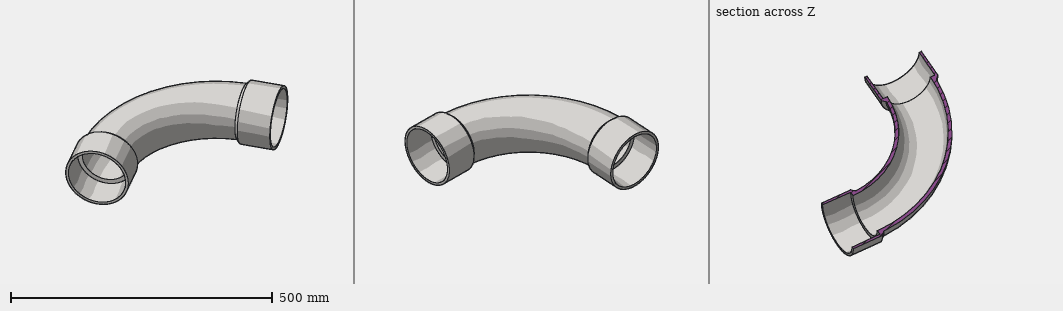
import cadquery as cq

overall_length = 343.5
socket_diameter = 125.0
socket_length = 71.5
shoulder_chamfer = 7.0

seat_mouth_diameter = 114.0
seat_floor_diameter = 112.5
seat_depth = 61.0

pipe_diameter = 110.0
pipe_bore_diameter = 94.0

half_length = overall_length / 2
socket_radius = socket_diameter / 2
corner_x = -half_length + socket_radius
corner_y = half_length - socket_radius
bend_radius = overall_length - socket_radius - seat_depth

lower_end = cq.Plane(origin=(corner_x, -half_length, 0), xDir=(1, 0, 0), normal=(0, 1, 0))
side_end = cq.Plane(origin=(half_length, corner_y, 0), xDir=(0, 1, 0), normal=(-1, 0, 0))


def quarter_bend(diameter):
    """Quarter torus joining the floors of the two pipe seats."""
    bend_start = cq.Plane(
        origin=(corner_x, -half_length + seat_depth, 0), xDir=(1, 0, 0), normal=(0, 1, 0)
    )
    return (
        cq.Workplane(bend_start)
        .circle(diameter / 2)
        .revolve(90, (bend_radius, 0, 0), (bend_radius, 1, 0))
    )


def socket_body(end_plane):
    """Solid cylinder with a chamfered shoulder facing the bend."""
    body = cq.Workplane(end_plane).circle(socket_radius).extrude(socket_length)
    return body.faces(cq.selectors.DirectionMinMaxSelector(end_plane.zDir)).chamfer(shoulder_chamfer)


def pipe_seat(end_plane):
    """Tapered cavity whose floor is the step down to the bore of the bend."""
    return (
        cq.Workplane(end_plane)
        .circle(seat_mouth_diameter / 2)
        .workplane(offset=seat_depth)
        .circle(seat_floor_diameter / 2)
        .loft()
    )


result = quarter_bend(pipe_diameter)
for end in (lower_end, side_end):
    result = result.union(socket_body(end))

result = result.cut(quarter_bend(pipe_bore_diameter))
for end in (lower_end, side_end):
    result = result.cut(pipe_seat(end))